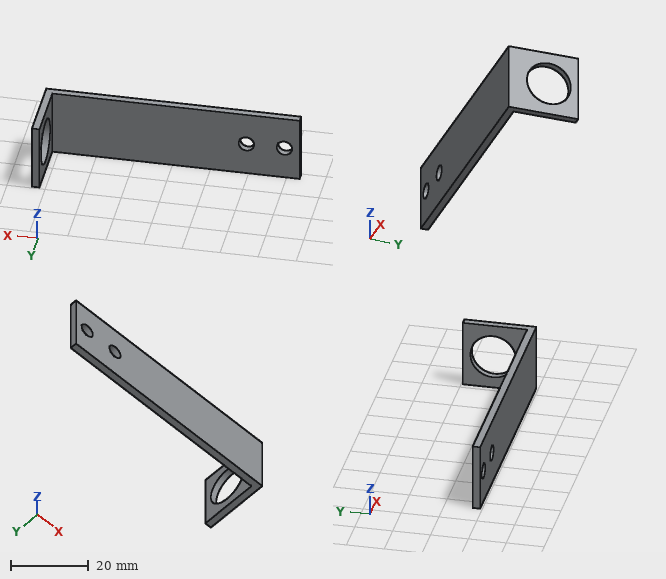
import cadquery as cq

length = 67.0
depth = 19.0
height = 18.0
thickness = 2.0

mount_diameter = 4.0
first_mount_x = 4.0
mount_spacing = 10.0

flange_hole_diameter = 12.0
flange_hole_y = 11.0

mid_height = height / 2


def block(size_x, size_y):
    """Full-height block with its lower corner at the origin."""
    return cq.Workplane("XY").box(size_x, size_y, height, centered=False)


long_plate = block(length, thickness)
flange = block(thickness, depth).translate((length - thickness, 0, 0))
bracket = long_plate.union(flange)

for hole_x in (first_mount_x, first_mount_x + mount_spacing):
    mount_hole = cq.Solid.makeCylinder(
        mount_diameter / 2,
        thickness,
        cq.Vector(hole_x, 0, mid_height),
        cq.Vector(0, 1, 0),
    )
    bracket = bracket.cut(cq.Workplane(mount_hole))

flange_hole = cq.Solid.makeCylinder(
    flange_hole_diameter / 2,
    thickness,
    cq.Vector(length - thickness, flange_hole_y, mid_height),
    cq.Vector(1, 0, 0),
)

result = bracket.cut(cq.Workplane(flange_hole))